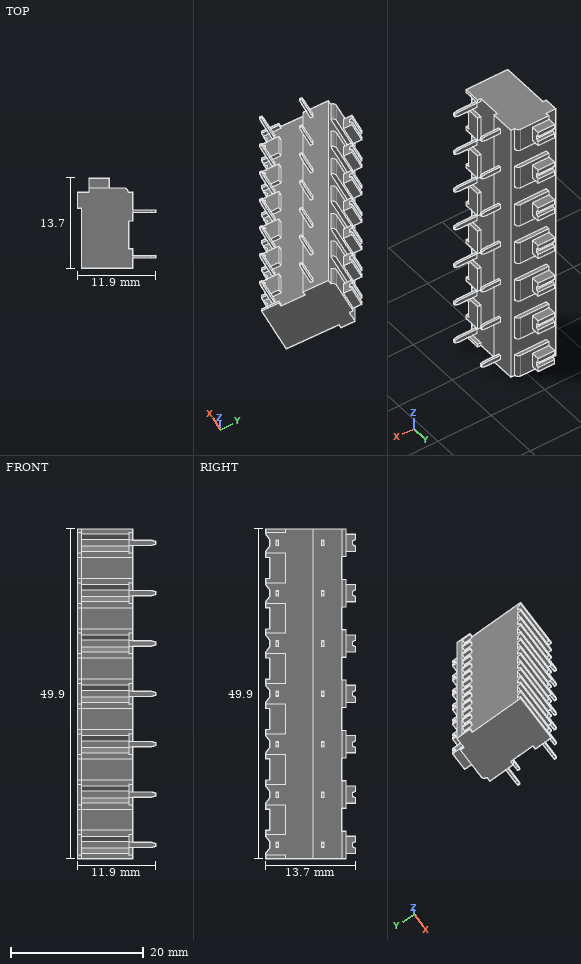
import cadquery as cq

pole_count = 7
pitch = 7.62
end_margin = 2.1
height = (pole_count - 1) * pitch + 2 * end_margin
pole_centers = [end_margin + i * pitch for i in range(pole_count)]
pole_half_width = 2.23

body_left = 0.6
body_right = 8.42
body_back = 11.55

lip_front = 10.55
tab_front = 9.1
tab_inner_half = 1.55

rib_depth = 0.62
groove_mouth_half = 1.3
groove_floor_half = 0.5

standoff = 0.62
pin_face = body_right - standoff
recess_front = 3.0
recess_back = 7.15
pin_notch_half = 1.55

shoulder_left = 1.8
shoulder_right = 7.7
shoulder_back = 12.2
shoulder_radius = shoulder_back - body_back
shoulder_half = end_margin
terminal_left = 1.75
terminal_right = 4.85
terminal_back = 13.65
terminal_half = 1.32
notch_depth = 0.45
notch_mouth_half = 0.5
notch_floor_half = 0.28

pin_root = 7.2
pin_end = 11.9
pin_rows = (1.75, 8.65)
pin_thickness = 0.4
pin_half_width = 0.42
pin_tip_half = 0.22
pin_taper = 0.7


def block(x0, x1, y0, y1, z0, z1):
    """Box between two opposite corners."""
    return cq.Workplane("XY").box(x1 - x0, y1 - y0, z1 - z0, centered=False).translate((x0, y0, z0))


def prism_along_x(points, x0, x1):
    """Extrude a (Y, Z) outline from x0 to x1."""
    return cq.Workplane("YZ", origin=(x0, 0, 0)).polyline(points).close().extrude(x1 - x0)


def make_housing():
    """Plain body with the lip along its left face."""
    housing = block(body_left, body_right, 0, body_back, 0, height)
    lip = block(0, body_left, lip_front, body_back, 0, height)
    return housing.union(lip)


def make_tabs(center):
    """Two tabs under the lip, kept within the end faces."""
    low = max(center - pole_half_width, 0)
    high = min(center + pole_half_width, height)
    lower = block(0, body_left, tab_front, lip_front, low, center - tab_inner_half)
    upper = block(0, body_left, tab_front, lip_front, center + tab_inner_half, high)
    return lower.union(upper)


def make_gap(lower_center, upper_center):
    """Shallow recess in the underside between two neighbouring poles."""
    z0 = lower_center + pole_half_width
    z1 = upper_center - pole_half_width
    return block(body_left, body_right, 0, rib_depth, z0, z1)


def make_groove(center):
    """Trapezoidal groove along X in the underside of a pole."""
    points = [
        (0, center - groove_mouth_half),
        (rib_depth, center - groove_floor_half),
        (rib_depth, center + groove_floor_half),
        (0, center + groove_mouth_half),
    ]
    return prism_along_x(points, body_left, body_right)


def make_pin_notch(center):
    """Notch in the front foot of the pin face, around the front pin of a pole."""
    return block(pin_face, body_right, 0, recess_front, center - pin_notch_half, center + pin_notch_half)


def make_shoulder(center):
    """Low step behind the body, with its pin-side edge rounded."""
    low = center - shoulder_half
    high = center + shoulder_half
    shoulder = block(shoulder_left, shoulder_right, body_back, shoulder_back, low, high)
    rounding = (
        cq.Workplane("XY", origin=(0, 0, low))
        .moveTo(shoulder_right - shoulder_radius, shoulder_back)
        .radiusArc((shoulder_right, body_back), shoulder_radius)
        .lineTo(shoulder_right, shoulder_back)
        .close()
        .extrude(2 * shoulder_half)
    )
    return shoulder.cut(rounding)


def make_terminal(center):
    """Raised block with a tapered notch along X in its back face."""
    notch_floor = terminal_back - notch_depth
    points = [
        (body_back, center - terminal_half),
        (terminal_back, center - terminal_half),
        (terminal_back, center - notch_mouth_half),
        (notch_floor, center - notch_floor_half),
        (notch_floor, center + notch_floor_half),
        (terminal_back, center + notch_mouth_half),
        (terminal_back, center + terminal_half),
        (body_back, center + terminal_half),
    ]
    return prism_along_x(points, terminal_left, terminal_right)


def make_pin(row, center):
    """Flat pin along X with a tapered tip, rooted inside the housing."""
    points = [
        (pin_root, center - pin_half_width),
        (pin_end - pin_taper, center - pin_half_width),
        (pin_end, center - pin_tip_half),
        (pin_end, center + pin_tip_half),
        (pin_end - pin_taper, center + pin_half_width),
        (pin_root, center + pin_half_width),
    ]
    profile = cq.Workplane("XZ", origin=(0, row, 0)).polyline(points).close()
    return profile.extrude(pin_thickness / 2, both=True)


result = make_housing()

for lower_center, upper_center in zip(pole_centers, pole_centers[1:]):
    result = result.cut(make_gap(lower_center, upper_center))

result = result.cut(block(pin_face, body_right, recess_front, recess_back, 0, height))

for center in pole_centers:
    result = result.cut(make_groove(center))
    result = result.cut(make_pin_notch(center))
    result = result.union(make_tabs(center))
    result = result.union(make_shoulder(center))
    result = result.union(make_terminal(center))
    for row in pin_rows:
        result = result.union(make_pin(row, center))